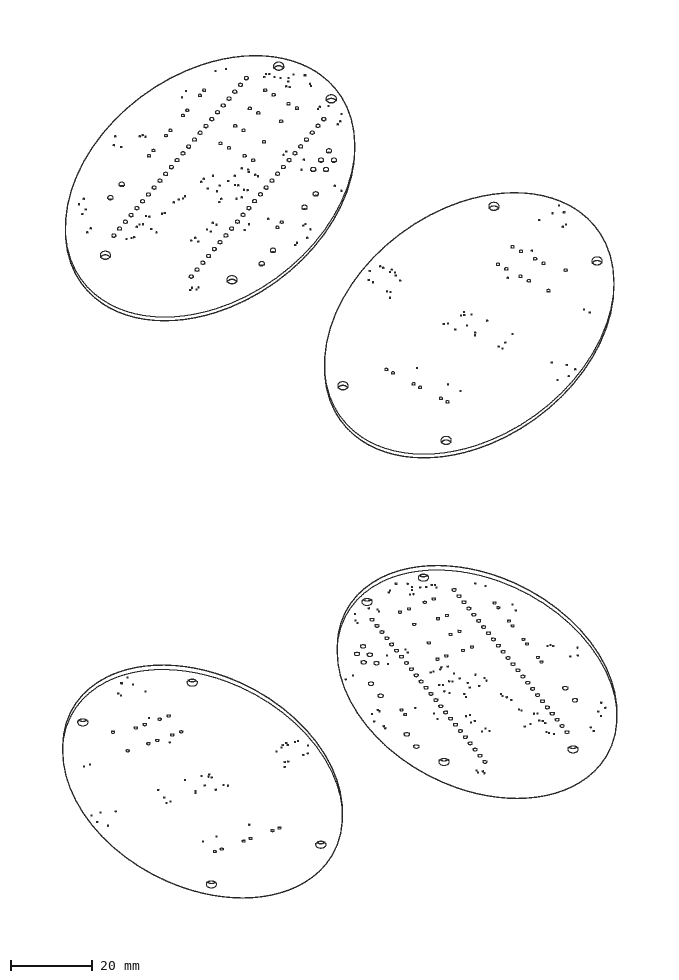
import cadquery as cq

TOTAL_WIDTH = 138.2
BOARD_WIDTH = 61.9
BOARD_LENGTH = 87.9
BOARD_THICKNESS = 1.5
BOARD_CENTER_X = (TOTAL_WIDTH - BOARD_WIDTH) / 2

MOUNT_DIAMETER = 2.5
TERMINAL_DIAMETER = 1.3
POT_DIAMETER = 1.27
HEADER_DIAMETER = 1.0
LEAD_DIAMETER = 0.8
PLUG_DIAMETER = 0.75
PILOT_DIAMETER = 0.5
VIA_DIAMETER = 0.3

LEAD_PITCH = 2.5
PLUG_PITCH = 2.0
RESISTOR_SPAN = 7.6

PILOT = [(0.3, 41.5)]

CONTROL_MOUNTS = [(-6.6, 40.2), (9.7, 39.0), (20.5, -21.0), (-9.5, -31.9)]
HEADER_PIN_COUNT = 24
HEADER_LENGTH = 58.5
HEADER_PITCH = HEADER_LENGTH / (HEADER_PIN_COUNT - 1)
HEADER_START_Y = -25.7
HEADER_ROWS_X = (-11.2, 11.6)

TERMINAL_PITCH = 5.0
TERMINALS = [(22.8, 12.5), (23.8, -7.9), (-18.4, -11.5)]

POT_COLUMNS_X = (18.1, 20.7)
POT_PIN_COUNT = 5
POT_TOP_Y = 25.3
POT_COLUMN_PITCH = 3.5

CONTROL_LEADS_LEFT = [(-5.3, 32.2), (-5.3, 25.5), (-5.3, 19.0), (-5.3, 12.5), (1.8, 31.9), (1.8, 12.6)]
CONTROL_RESISTOR_TOP = (3.3, 26.4)

PLUG_COLUMN_X = -17.7
PLUG_COLUMN_START_Y = 0.5
PLUG_COLUMN_STEP = 7.5
PLUG_COLUMN_COUNT = 4
SIDE_PLUG = (20.7, -0.4)

CONTROL_VIAS_TOP = [
    (-2.2, 40.1), (2.8, 40.0), (3.3, 39.5), (-2.6, 38.5), (-4.3, 37.5), (-2.1, 37.6), (-7.2, 36.9),
    (-7.9, 36.5), (-5.7, 36.9), (10.4, 36.8), (14.4, 36.5), (-0.8, 36.4), (-1.7, 36.1), (-7.7, 35.5),
    (8.7, 35.4), (8.7, 34.5), (15.3, 34.4), (15.3, 33.3), (-16.9, 32.3), (-18.7, 30.4),
]
CONTROL_VIAS_LEFT = [
    (-21.3, 21.3), (-21.0, 19.1), (-23.0, 3.3), (-22.5, 4.0), (-21.7, 4.0), (-27.9, 0), (-24.9, -2.0),
    (-26.7, -2.5), (-23.6, -20.3), (-23.6, -22.4), (-21.4, -22.8), (-21.3, -24.5), (-17.1, -27.0),
    (-17.1, -28.5),
]
CONTROL_VIAS_RIGHT = [
    (14.5, 19.6), (25.3, 17.1), (15.8, 16.7), (27.5, 16.7), (25.7, 2.6), (25.8, 3.3), (27.8, 2.6),
    (28.6, 0), (17.4, -0.4), (27.4, -2.6), (27.4, -3.5), (14.4, -4.4), (14.5, -6.5), (14.9, -27.5),
    (14.9, -28.3), (13.7, -28.5), (13.7, -29.3),
]
CONTROL_VIAS_MIDDLE = [
    (9.5, 19.4), (9.5, 18.1), (4.8, 9.5), (5.4, 9.0), (3.3, 9.0), (7.2, 9.1), (8.0, 9.1), (3.2, 6.1),
    (4.8, 3.7), (5.5, 4.1), (7.5, 3.7), (8.3, 4.1), (2.8, 3.9), (-1.2, 3.2), (1.8, 1.5), (8.3, 1.5), (-2.6, 1.1),
    (7.5, 0.4), (-2.6, 0), (2.2, -0.3), (-0.1, -0.8), (4.4, -1.7), (4.5, -2.8), (-3.5, -6.0),
    (-3.5, -6.8), (-4.1, -7.6), (-4.7, -9.0), (6.8, -9.0), (7.9, -9.0), (6.8, -11.5), (7.9, -11.5),
    (-4.7, -13.0), (-5.1, -13.5), (5.8, -15.2), (7.0, -15.8), (-8.0, -16.3), (-7.2, -16.0), (5.4, -16.5),
    (-7.2, -18.8), (-7.9, -19.4), (-4.7, -19.0), (-3.0, -19.1), (-8.0, -20.3), (-6.8, -23.4),
    (-7.2, -23.9), (-8.0, -24.9),
]

SENSOR_MOUNTS_X = (-15.0, 15.3)
SENSOR_MOUNTS_Y = (33.5, -33.2)

SENSOR_LEADS_LEFT = [(-4.3, 25.6), (2.3, 25.6), (-4.3, 19.1), (2.3, 19.1)]
SENSOR_RESISTOR_TOP = (10.5, 26.8)
SENSOR_PLUGS = [(-8.0, -23.1), (0, -23.1), (8.0, -23.1)]

SENSOR_VIAS_TOP = [(-2.0, 42.6), (-2.0, 39.7), (2.8, 38.5), (2.5, 37.6), (-3.5, 36.1)]
SENSOR_VIAS_LEFT = [
    (-25.0, 3.3), (-25.0, 2.5), (-23.9, 3.0), (-23.2, 2.3), (-27.9, 2.6), (-27.1, 2.6), (-21.4, 1.7),
    (-29.3, 0), (-27.9, -2.5), (-26.7, -2.5), (-22.3, -2.9), (-21.4, -2.6), (-20.6, -4.1),
]
SENSOR_VIAS_RIGHT = [
    (21.0, 19.2), (22.7, 19.2), (27.0, 2.6), (29.5, 2.6), (23.5, 1.2), (29.3, 0), (27.6, -2.5),
]
SENSOR_VIAS_MIDDLE = [
    (0.3, 27.2), (0, 17.0), (3.2, 3.2), (10.6, 3.2), (-1.1, 2.6), (-3.0, 2.2), (-3.0, 1.0), (-2.5, 1.5),
    (10.6, 0), (-0.1, -0.8), (3.2, -2.2), (2.8, -1.5), (10.0, -2.0), (11, -2.0), (-4.3, -2.9), (-1.8, -3.5),
    (-5.1, -3.6), (-3.0, -18.5), (6.1, -18.5), (9.8, -18.5),
]


def pair_right(lefts, pitch):
    """Each given point and its partner one pitch further along +X."""
    return [(x + shift, y) for x, y in lefts for shift in (0, pitch)]


def pair_down(tops, pitch):
    """Each given point and its partner one pitch further along -Y."""
    return [(x, y - shift) for x, y in tops for shift in (0, pitch)]


def header_points():
    """Two parallel rows of pin holes along Y."""
    return [
        (x, HEADER_START_Y + pin * HEADER_PITCH)
        for x in HEADER_ROWS_X
        for pin in range(HEADER_PIN_COUNT)
    ]


def pot_points():
    """Pins that step down along -Y, swapping column at each step."""
    return [(POT_COLUMNS_X[pin % 2], POT_TOP_Y - pin * POT_COLUMN_PITCH / 2) for pin in range(POT_PIN_COUNT)]


def control_plug_points():
    """Pin pairs along Y: an even column near -X and a single plug near +X."""
    column = [
        (PLUG_COLUMN_X, PLUG_COLUMN_START_Y + plug * PLUG_COLUMN_STEP)
        for plug in range(PLUG_COLUMN_COUNT)
    ]
    tops = [(x, y + PLUG_PITCH / 2) for x, y in column + [SIDE_PLUG]]
    return pair_down(tops, PLUG_PITCH)


def sensor_plug_points():
    """Pin pairs along X, in one row."""
    lefts = [(x - PLUG_PITCH / 2, y) for x, y in SENSOR_PLUGS]
    return pair_right(lefts, PLUG_PITCH)


def blank_board():
    """Plain elliptical board centred on the origin in X and Y, with its underside at Z = 0."""
    return cq.Workplane("XY").ellipse(BOARD_WIDTH / 2, BOARD_LENGTH / 2).extrude(BOARD_THICKNESS)


def drill(board, diameter, points):
    """Cut a through hole at each point, measured from the board centre."""
    drills = cq.Workplane("XY").pushPoints(points).circle(diameter / 2).extrude(BOARD_THICKNESS)
    return board.cut(drills)


def make_control_board():
    """Board with the pin headers, terminals and most of the vias."""
    leads = pair_right(CONTROL_LEADS_LEFT, LEAD_PITCH) + pair_down([CONTROL_RESISTOR_TOP], RESISTOR_SPAN)
    vias = CONTROL_VIAS_TOP + CONTROL_VIAS_LEFT + CONTROL_VIAS_RIGHT + CONTROL_VIAS_MIDDLE

    board = blank_board()
    board = drill(board, MOUNT_DIAMETER, CONTROL_MOUNTS)
    board = drill(board, HEADER_DIAMETER, header_points())
    board = drill(board, TERMINAL_DIAMETER, pair_down(TERMINALS, TERMINAL_PITCH))
    board = drill(board, POT_DIAMETER, pot_points())
    board = drill(board, LEAD_DIAMETER, leads)
    board = drill(board, PLUG_DIAMETER, control_plug_points())
    board = drill(board, PILOT_DIAMETER, PILOT)
    board = drill(board, VIA_DIAMETER, vias)
    return board.translate((-BOARD_CENTER_X, 0, 0))


def make_sensor_board():
    """Board with four mounting holes in a rectangle and one row of plugs."""
    mounts = [(x, y) for x in SENSOR_MOUNTS_X for y in SENSOR_MOUNTS_Y]
    leads = pair_right(SENSOR_LEADS_LEFT, LEAD_PITCH) + pair_down([SENSOR_RESISTOR_TOP], RESISTOR_SPAN)
    vias = SENSOR_VIAS_TOP + SENSOR_VIAS_LEFT + SENSOR_VIAS_RIGHT + SENSOR_VIAS_MIDDLE

    board = blank_board()
    board = drill(board, MOUNT_DIAMETER, mounts)
    board = drill(board, LEAD_DIAMETER, leads)
    board = drill(board, PLUG_DIAMETER, sensor_plug_points())
    board = drill(board, PILOT_DIAMETER, PILOT)
    board = drill(board, VIA_DIAMETER, vias)
    return board.translate((BOARD_CENTER_X, 0, 0))


control_board = make_control_board()
sensor_board = make_sensor_board()

result = cq.Compound.makeCompound([control_board.solids().val(), sensor_board.solids().val()])